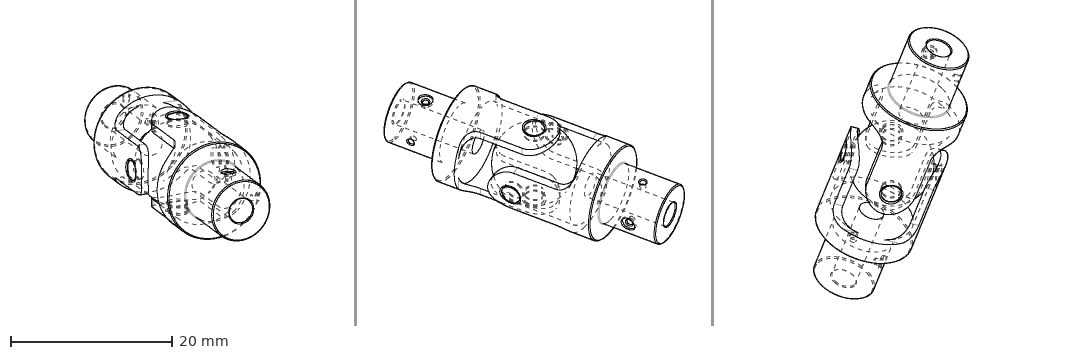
import cadquery as cq
import math

length = 38.1
body_dia = 12.7
hub_dia = 7.94
hub_length = 7.94
bore_dia = 3.17

cavity_dia = 10.86
arm_width = 6.35
floor_x = 7.86
corner_radius = 1.98

ball_dia = 10.6
pin_dia = 2.54
pin_countersink = 0.2

screw_dia = 1.9
screw_recess = 0.35
hole_inset = 3.81
pilot_dia = 0.79
hole_chamfer = 0.14
pilot_depth = 0.8
drill_half_angle = math.radians(59)
pick_size = 0.08

edge_chamfer = 0.15
root_fillet = 0.12
bore_chamfer = 0.12

end_x = length / 2
shoulder_x = end_x - hub_length
body_radius = body_dia / 2
hub_radius = hub_dia / 2
bore_radius = bore_dia / 2
tip_radius = arm_width / 2
hole_x = end_x - hole_inset


def turned_blank():
    """Bored hub, shoulder and cylindrical arm sleeve, with the hub pointing to -X."""
    half_section = (
        cq.Workplane("XY")
        .moveTo(-end_x, bore_radius + bore_chamfer)
        .lineTo(-end_x, hub_radius - edge_chamfer)
        .lineTo(-end_x + edge_chamfer, hub_radius)
        .lineTo(-shoulder_x - root_fillet, hub_radius)
        .radiusArc((-shoulder_x, hub_radius + root_fillet), -root_fillet)
        .lineTo(-shoulder_x, body_radius - edge_chamfer)
        .lineTo(-shoulder_x + edge_chamfer, body_radius)
        .lineTo(tip_radius, body_radius)
        .lineTo(tip_radius, cavity_dia / 2)
        .lineTo(-floor_x, cavity_dia / 2)
        .lineTo(-floor_x, bore_radius)
        .lineTo(-end_x + bore_chamfer, bore_radius)
        .lineTo(-end_x, bore_radius + bore_chamfer)
        .close()
    )
    blank = half_section.revolve(360, (0, 0, 0), (1, 0, 0))
    return blank.rotate((0, 0, 0), (1, 0, 0), -90)


def arm_outline():
    """Side shape of a yoke: full width up to the floor, then one round-ended arm."""
    fillet_x = -floor_x + corner_radius
    fillet_z = tip_radius + corner_radius
    return (
        cq.Workplane("XZ")
        .moveTo(-end_x, -body_radius)
        .lineTo(-floor_x, -body_radius)
        .lineTo(-floor_x, -fillet_z)
        .radiusArc((fillet_x, -tip_radius), corner_radius)
        .lineTo(0, -tip_radius)
        .threePointArc((tip_radius, 0), (0, tip_radius))
        .lineTo(fillet_x, tip_radius)
        .radiusArc((-floor_x, fillet_z), corner_radius)
        .lineTo(-floor_x, body_radius)
        .lineTo(-end_x, body_radius)
        .close()
        .extrude(body_radius, both=True)
    )


def drilled_cutter(start):
    """Small blind hole along +Z, with a drill point, opening at this distance from the shaft axis."""
    radius = pilot_dia / 2
    bottom = start - pilot_depth
    return (
        cq.Workplane("XZ")
        .moveTo(0, bottom - radius / math.tan(drill_half_angle))
        .lineTo(radius, bottom)
        .lineTo(radius, body_radius)
        .lineTo(0, body_radius)
        .close()
        .revolve(360, (0, 0, 0), (0, 1, 0))
    )


def edge_near(point):
    """Selector for the edges whose centres lie in a small cube about the point."""
    low = tuple(value - pick_size for value in point)
    high = tuple(value + pick_size for value in point)
    return cq.selectors.BoxSelector(low, high)


def cut_pilot(body):
    """Chamfered pilot hole at +Z."""
    body = body.cut(drilled_cutter(hub_radius).translate((-hole_x, 0, 0)))
    mouth = edge_near((-hole_x, 0, hub_radius))
    return body.edges(mouth).chamfer(hole_chamfer)


def cut_screw(body):
    """Round screw recess at +Y with a chamfered socket in its flat floor."""
    floor_radius = hub_radius - screw_recess
    recess = cq.Workplane("XY", origin=(0, 0, floor_radius)).circle(screw_dia / 2).extrude(body_radius)
    socket = drilled_cutter(floor_radius)
    for cutter in (recess, socket):
        body = body.cut(cutter.rotate((0, 0, 0), (1, 0, 0), -90).translate((-hole_x, 0, 0)))
    socket_mouth = edge_near((-hole_x, floor_radius, 0))
    return body.edges(socket_mouth).edges(cq.selectors.RadiusNthSelector(0)).chamfer(hole_chamfer)


def cut_pin_holes(body):
    """Pin hole through both arms along Y, countersunk at the outside."""
    body = body.cut(cq.Workplane("XZ").circle(pin_dia / 2).extrude(body_radius, both=True))
    for side in (-1, 1):
        mouth = edge_near((0, side * body_radius, 0))
        body = body.edges(mouth).chamfer(pin_countersink)
    return body


def yoke():
    """Yoke with its hub to -X, arms at +Y and -Y, screw at +Y and pilot hole at +Z."""
    body = turned_blank().intersect(arm_outline())
    body = cut_pilot(body)
    body = cut_screw(body)
    return cut_pin_holes(body)


def domed_pin():
    """Pin along Z whose ends are domed to the body radius."""
    radius = pin_dia / 2
    dome_edge = math.sqrt(body_radius**2 - radius**2)
    return (
        cq.Workplane("XZ")
        .moveTo(0, -body_radius)
        .radiusArc((radius, -dome_edge), -body_radius)
        .lineTo(radius, dome_edge)
        .radiusArc((0, body_radius), -body_radius)
        .close()
        .revolve(360, (0, 0, 0), (0, 1, 0))
    )


def cross():
    """Central ball with two crossed pins."""
    pin_z = domed_pin()
    pin_y = pin_z.rotate((0, 0, 0), (1, 0, 0), 90)
    ball = cq.Workplane("XY").sphere(ball_dia / 2)
    return ball.union(pin_z).union(pin_y)


first_yoke = yoke()
second_yoke = first_yoke.rotate((0, 0, 0), (0, 1, 1), 180)
result = first_yoke.union(second_yoke).union(cross())